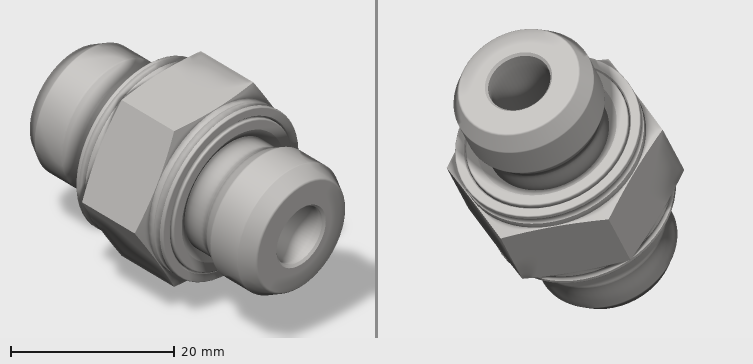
import cadquery as cq
import math

total_length = 39.0
half_length = total_length / 2
bore_diameter = 8.0
bore_chamfer = 0.3

hex_across_flats = 24.0
hex_half_width = 5.05
hex_chamfer_diameter = 23.8
hex_chamfer_angle = 15.0

flange_radius = 23.8 / 2
flange_end = 7.5
flange_fillet = 0.15
rim_groove_inner = 5.9
rim_groove_outer = 6.95
rim_groove_depth = 0.27

stud_radius = 18.0 / 2
neck_radius = 15.6 / 2
cone_angle = 30.0
tip_radius = 7.75
neck_cone_start = 10.7
tip_fillet = 0.3
stud_back_fillet = 0.45
neck_fillet = 1.4

recess_radius = 21.05 / 2
recess_floor = 5.85
recess_mouth_chamfer = 0.2

seal_outer_radius = 20.9 / 2
seal_face = 7.85
seal_fillet = 0.2
countersink_radius = stud_radius
countersink_angle = 30.0
countersink_depth = (countersink_radius - neck_radius) * math.tan(math.radians(countersink_angle))


def revolve_about_x(profile):
    return profile.close().revolve(360, (0, 0, 0), (1, 0, 0))


def ring_edges(body, x, radius):
    """Return the two circular edges at +x and -x with the given radius."""
    tolerance = 0.02
    edges = [
        edge
        for edge in body.edges("%CIRCLE").vals()
        if abs(abs(edge.Center().x) - x) < tolerance and abs(edge.radius() - radius) < tolerance
    ]
    return body.newObject(edges)


def make_hexagon():
    """Make the hexagon, with its corners chamfered by a turned envelope."""
    envelope_clearance = 0.4
    across_corners = hex_across_flats / math.cos(math.radians(30))
    prism = (
        cq.Workplane("YZ")
        .polygon(6, across_corners)
        .extrude(hex_half_width, both=True)
    )
    corner_radius = across_corners / 2 + envelope_clearance
    chamfer_radius = hex_chamfer_diameter / 2
    chamfer_length = (corner_radius - chamfer_radius) * math.tan(math.radians(hex_chamfer_angle))
    shoulder = hex_half_width - chamfer_length
    envelope = revolve_about_x(
        cq.Workplane("XY")
        .moveTo(-hex_half_width, 0)
        .lineTo(-hex_half_width, chamfer_radius)
        .lineTo(-shoulder, corner_radius)
        .lineTo(shoulder, corner_radius)
        .lineTo(hex_half_width, chamfer_radius)
        .lineTo(hex_half_width, 0)
    )
    return prism.intersect(envelope)


def make_stud_core():
    """Make one continuous turned core with a stud at each end."""
    slope = math.tan(math.radians(cone_angle))
    tip_cone_end = half_length - (stud_radius - tip_radius) / slope
    neck_cone_end = neck_cone_start + (stud_radius - neck_radius) / slope
    core = revolve_about_x(
        cq.Workplane("XY")
        .moveTo(-half_length, 0)
        .lineTo(-half_length, tip_radius)
        .lineTo(-tip_cone_end, stud_radius)
        .lineTo(-neck_cone_end, stud_radius)
        .lineTo(-neck_cone_start, neck_radius)
        .lineTo(neck_cone_start, neck_radius)
        .lineTo(neck_cone_end, stud_radius)
        .lineTo(tip_cone_end, stud_radius)
        .lineTo(half_length, tip_radius)
        .lineTo(half_length, 0)
    )
    core = ring_edges(core, half_length, tip_radius).fillet(tip_fillet)
    core = ring_edges(core, tip_cone_end, stud_radius).fillet(tip_fillet)
    core = ring_edges(core, neck_cone_end, stud_radius).fillet(stud_back_fillet)
    return ring_edges(core, neck_cone_start, neck_radius).fillet(neck_fillet)


def make_flanges():
    flanges = cq.Workplane("YZ").circle(flange_radius).extrude(flange_end, both=True)
    return ring_edges(flanges, flange_end, flange_radius).fillet(flange_fillet)


def make_rim_groove():
    """Make the cutter for the round groove in the rim of the +X flange."""
    cutter_clearance = 0.4
    clear_radius = flange_radius + cutter_clearance
    middle = (rim_groove_inner + rim_groove_outer) / 2
    return revolve_about_x(
        cq.Workplane("XY")
        .moveTo(rim_groove_inner, clear_radius)
        .lineTo(rim_groove_inner, flange_radius)
        .threePointArc((middle, flange_radius - rim_groove_depth), (rim_groove_outer, flange_radius))
        .lineTo(rim_groove_outer, clear_radius)
    )


def make_seal_recess():
    """Make the +X seal recess cutter; it reaches inside the neck, which the core fills again."""
    inner_radius = neck_radius / 2
    return revolve_about_x(
        cq.Workplane("XY")
        .moveTo(recess_floor, recess_radius)
        .lineTo(recess_floor, inner_radius)
        .lineTo(flange_end + recess_mouth_chamfer, inner_radius)
        .lineTo(flange_end + recess_mouth_chamfer, recess_radius + recess_mouth_chamfer)
        .lineTo(flange_end, recess_radius + recess_mouth_chamfer)
        .lineTo(flange_end - recess_mouth_chamfer, recess_radius)
    )


def make_housing():
    housing = make_hexagon().union(make_flanges())
    for cutter in (make_rim_groove(), make_seal_recess()):
        housing = housing.cut(cutter).cut(cutter.mirror("YZ"))
    housing = housing.union(make_stud_core())
    bore = cq.Workplane("YZ").circle(bore_diameter / 2).extrude(half_length, both=True)
    housing = housing.cut(bore)
    return ring_edges(housing, half_length, bore_diameter / 2).chamfer(bore_chamfer)


def make_seal_ring(side):
    """Make the seal ring for the +X (side = 1) or -X (side = -1) flange."""
    ring = revolve_about_x(
        cq.Workplane("XY")
        .moveTo(side * recess_floor, neck_radius)
        .lineTo(side * recess_floor, seal_outer_radius)
        .lineTo(side * seal_face, seal_outer_radius)
        .lineTo(side * seal_face, countersink_radius)
        .lineTo(side * (seal_face - countersink_depth), neck_radius)
    )
    return ring_edges(ring, seal_face, seal_outer_radius).fillet(seal_fillet)


housing = make_housing()
seal_rings = [make_seal_ring(side) for side in (-1, 1)]

result = cq.Compound.makeCompound([housing.val(), *[ring.val() for ring in seal_rings]])